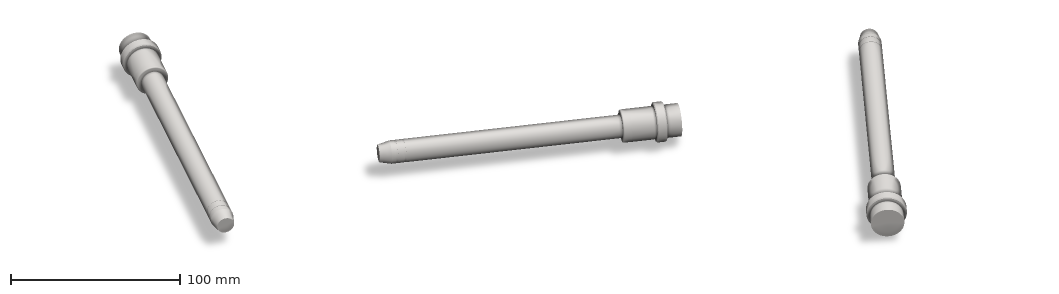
import cadquery as cq

total_length = 181
shank_diameter = 20
flange_diameter = 24.0
rod_diameter = 14.0
tip_diameter = 10.5

flange_start = 9
flange_width = 6.0
flange_end = flange_start + flange_width
lead_start = 30.0
shank_end = 35.1
nose_length = 7.0
nose_start = total_length - nose_length

flange_chamfer = 0.5
relief_width = 1.0
relief_depth = 0.5
lead_drop = 0.04
shank_end_fillet = 0.7
rod_relief_width = 0.5
rod_relief_depth = 0.2

ring_starts = (165.3, 170.1)
ring_width = 1.0
ring_depth = 0.2

shank_radius = shank_diameter / 2
flange_radius = flange_diameter / 2
rod_radius = rod_diameter / 2
tip_radius = tip_diameter / 2


def make_cylinder(start, length, radius):
    """Solid cylinder on the X axis."""
    return cq.Workplane("YZ", origin=(start, 0, 0)).circle(radius).extrude(length)


def revolve_profile(profile):
    """Turn a closed XY profile about the X axis."""
    return profile.close().revolve(360, (0, 0, 0), (1, 0, 0))


def make_shank():
    """Head and shank, with sloped reliefs beside the flange and a tapered lead."""
    relief_radius = shank_radius - relief_depth
    lead_radius = shank_radius - lead_drop
    profile = (
        cq.Workplane("XY")
        .moveTo(0, 0)
        .lineTo(0, shank_radius)
        .lineTo(flange_start - relief_width, shank_radius)
        .lineTo(flange_start, relief_radius)
        .lineTo(flange_end, relief_radius)
        .lineTo(flange_end + relief_width, shank_radius)
        .lineTo(lead_start, shank_radius)
        .lineTo(shank_end, lead_radius)
        .lineTo(shank_end, 0)
    )
    return revolve_profile(profile).faces(">X").edges().fillet(shank_end_fillet)


def make_flange():
    """Locating flange, chamfered on both rims."""
    return make_cylinder(flange_start, flange_width, flange_radius).edges().chamfer(flange_chamfer)


def make_rod():
    """Long rod with a sloped relief beside the shank and a conical nose."""
    profile = (
        cq.Workplane("XY")
        .moveTo(flange_end, 0)
        .lineTo(flange_end, rod_radius - rod_relief_depth)
        .lineTo(shank_end, rod_radius - rod_relief_depth)
        .lineTo(shank_end + rod_relief_width, rod_radius)
        .lineTo(nose_start, rod_radius)
        .lineTo(total_length, tip_radius)
        .lineTo(total_length, 0)
    )
    return revolve_profile(profile)


def make_ring(start):
    """Ring of material to remove for one shallow rod groove."""
    core = make_cylinder(start, ring_width, rod_radius - ring_depth)
    return make_cylinder(start, ring_width, flange_radius).cut(core)


result = make_shank().union(make_flange()).union(make_rod())
for ring_start in ring_starts:
    result = result.cut(make_ring(ring_start))